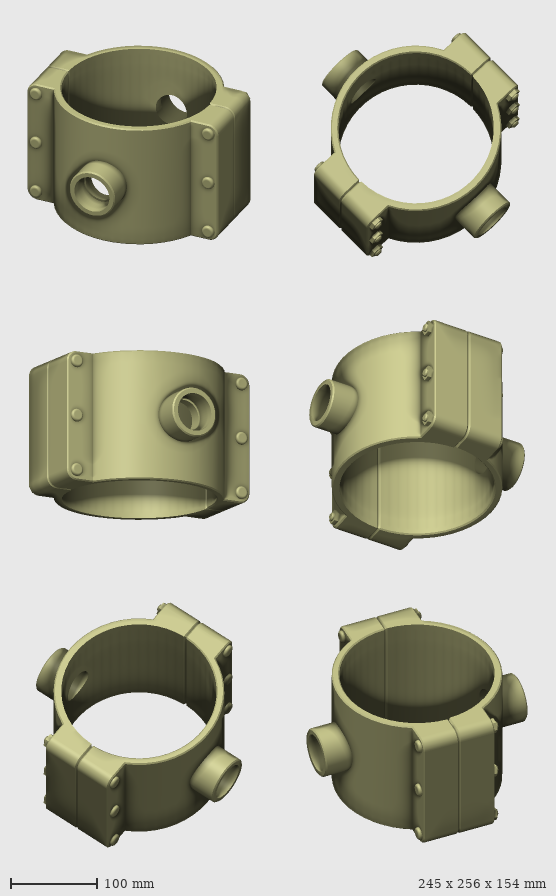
import cadquery as cq
width = 245.0
height = 154.0
bore_radius = 90.0
wall = 9.0
shell_radius = bore_radius + wall
flange_depth = 45.0
corner_radius = 12.5
edge_chamfer = 1.5
seam_chamfer = 2.0

length = 256.0
socket_diameter = 58.4
pipe_bore = 44.8
passage_bore = 40.0
seat_radius = 96.5
pipe_stop_y = 102.5
mouth_y = length / 2

bolt_inset = 12.0
bolt_x = width / 2 - bolt_inset
bolt_z = height / 2 - bolt_inset
bolt_places = [(x, z) for x in (-bolt_x, bolt_x) for z in (-bolt_z, 0, bolt_z)]
head_diameter = 15.0
head_height = 4.0
head_round = 2.8
thread_diameter = 10.0
thread_length = 8.0
thread_chamfer = 1.5
nut_across_corners = 17.7
nut_height = 4.9


def plane_at(y):
    """Workplane square to the Y axis; a negative extrusion from it runs toward +Y."""
    return cq.Workplane("XZ", origin=(0, y, 0))


def rod(diameter, start_y, end_y):
    return plane_at(start_y).circle(diameter / 2).extrude(start_y - end_y)


def outside_cylinder(radius, body):
    """Part of a body that lies outside a cylinder around the Z axis."""
    return body.cut(cq.Workplane("XY").circle(radius).extrude(height, both=True))


def back_half():
    """Half sleeve and its flanges on the +Y side, chamfered around the seam at Y = 0."""
    shell = (
        cq.Workplane("XY", origin=(0, 0, -height / 2))
        .moveTo(-shell_radius, 0)
        .threePointArc((0, shell_radius), (shell_radius, 0))
        .close()
        .extrude(height)
        .faces("|Z").edges("%CIRCLE").chamfer(edge_chamfer)
    )
    flanges = (
        plane_at(0).rect(width, height).extrude(-flange_depth)
        .edges("|Y").fillet(corner_radius)
        .faces(">Y").edges().chamfer(edge_chamfer)
    )
    half = outside_cylinder(bore_radius, shell.union(flanges))
    return half.faces("<Y").edges().chamfer(seam_chamfer)


def front_half():
    """Mirror of the back half with the two rims of its bore chamfered as well."""
    half = back_half().mirror("XZ")
    bore_rims = half.faces("|Z").edges("%CIRCLE").edges(cq.selectors.RadiusNthSelector(0))
    return bore_rims.chamfer(edge_chamfer)


def bolt_heads():
    return (
        plane_at(-flange_depth).pushPoints(bolt_places)
        .circle(head_diameter / 2).extrude(head_height)
        .faces("<Y").edges().fillet(head_round)
    )


def nuts():
    return (
        plane_at(flange_depth).pushPoints(bolt_places)
        .polygon(6, nut_across_corners).extrude(-nut_height)
    )


def thread_ends():
    return (
        plane_at(flange_depth).pushPoints(bolt_places)
        .circle(thread_diameter / 2).extrude(-thread_length)
        .faces(">Y").edges().chamfer(thread_chamfer)
    )


def socket_blank(side):
    """Solid socket on the -Y (side = -1) or +Y (side = 1) face, with a saddle-shaped inner end."""
    return outside_cylinder(seat_radius, rod(socket_diameter, 0, side * mouth_y))


def make_clamp():
    """Both halves with their bolting, pierced by the passages and recessed for the sockets."""
    clamp = back_half().union(front_half())
    clamp = clamp.union(bolt_heads()).union(nuts()).union(thread_ends())
    clamp = clamp.cut(rod(passage_bore, -mouth_y, mouth_y))
    for side in (-1, 1):
        clamp = clamp.cut(socket_blank(side))
    return clamp


def make_socket(side):
    """Socket with a chamfered mouth and a pipe bore that stops at a narrower passage."""
    mouth_face = ">Y" if side > 0 else "<Y"
    return (
        socket_blank(side)
        .faces(mouth_face).edges().chamfer(edge_chamfer)
        .cut(rod(passage_bore, 0, side * mouth_y))
        .cut(rod(pipe_bore, side * pipe_stop_y, side * mouth_y))
    )


clamp = make_clamp()
sockets = [make_socket(side) for side in (-1, 1)]
result = cq.Compound.makeCompound([clamp.val(), *[socket.val() for socket in sockets]])